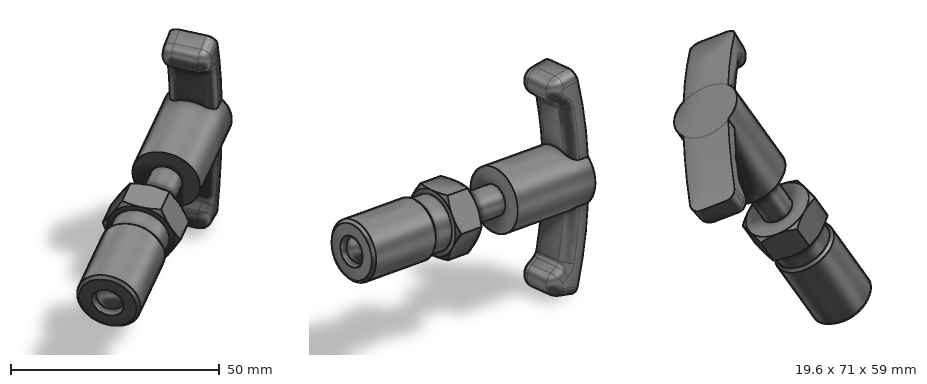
import cadquery as cq
import math

total_length = 71.0

barrel_diameter = 17.05
barrel_length = 25.0
pin_diameter = 8.0

back_radius = 106.5
arm_thickness = 5.5
arm_width = 12.1
arm_edge_radius = 2.7
arm_span = 59.0
arm_tip_height = arm_span / 2
finger_depth = 16.6
finger_height = 27.3
finger_radius = 3.55
neck_height = 20.65
neck_radius = 2.0

hex_across_flats = 17.0
hex_start = 37.0
hex_length = 8.0
hex_chamfer_angle = 30.0
relief_diameter = 14.5
relief_length = 5.1
thread_diameter = 16.0
thread_chamfer = 0.8
tip_projection = 0.2


def disc(diameter, start, length):
    """Cylinder on the axis, running forward (-Y) from a distance behind the handle's back."""
    plane = cq.Workplane("XZ", origin=(0, -start, 0))
    return plane.circle(diameter / 2).extrude(length)


def arc_depth(radius, height):
    """Depth below the handle's back of an arc concentric with the curved back."""
    return back_radius - math.sqrt(radius**2 - height**2)


def make_arm():
    """Upper grip arm: a curved strip ending in a rounded, forward-pointing finger."""
    inner_radius = back_radius - arm_thickness
    tip = (-arc_depth(back_radius, arm_tip_height), arm_tip_height)
    back_middle = (-arc_depth(back_radius, arm_tip_height / 2), arm_tip_height / 2)
    neck = (-arc_depth(inner_radius, neck_height), neck_height)
    inner_middle = (-arc_depth(inner_radius, neck_height / 2), neck_height / 2)
    finger = (-finger_depth, finger_height)
    arm = (
        cq.Workplane("YZ")
        .moveTo(0, 0)
        .threePointArc(back_middle, tip)
        .lineTo(*finger)
        .lineTo(*neck)
        .threePointArc(inner_middle, (-arm_thickness, 0))
        .close()
        .extrude(arm_width / 2, both=True)
    )
    arm = arm.edges(cq.selectors.NearestToPointSelector((0, *finger))).fillet(finger_radius)
    arm = arm.edges(cq.selectors.NearestToPointSelector((0, *neck))).fillet(neck_radius)

    root_middle = cq.Vector(0, -arm_thickness / 2, 0)
    back_point = cq.Vector(0, *back_middle)
    outline_edges = []
    for edge in arm.faces("<X or >X").edges().vals():
        centre = edge.positionAt(0.5)
        flat_centre = cq.Vector(0, centre.y, centre.z)
        on_root = (flat_centre - root_middle).Length < arm_edge_radius / 2
        on_back = (flat_centre - back_point).Length < arm_edge_radius / 2
        if not (on_root or on_back):
            outline_edges.append(edge)
    return arm.newObject(outline_edges).fillet(arm_edge_radius)


def make_handle():
    """Barrel with a curved back, two mirrored arms and a round-nosed pin."""
    back_envelope = (
        cq.Workplane("YZ", origin=(-barrel_diameter, 0, 0))
        .center(-back_radius, 0)
        .circle(back_radius)
        .extrude(2 * barrel_diameter)
    )
    barrel = disc(barrel_diameter, 0, barrel_length).intersect(back_envelope)
    nose_radius = pin_diameter / 2
    nose_centre = total_length - nose_radius
    pin = disc(pin_diameter, barrel_length, nose_centre - barrel_length)
    nose = cq.Workplane("XY", origin=(0, -nose_centre, 0)).sphere(nose_radius)
    arm = make_arm()
    return barrel.union(arm).union(arm.mirror("XY")).union(pin.union(nose))


def make_hexagon():
    """Hexagon with corners on X, both ends chamfered down to the across-flats circle."""
    corner_radius = hex_across_flats / math.sqrt(3)
    flat_radius = hex_across_flats / 2
    chamfer_length = (corner_radius - flat_radius) * math.tan(math.radians(hex_chamfer_angle))
    hexagon = cq.Workplane("XZ", origin=(0, -hex_start, 0)).polygon(6, 2 * corner_radius).extrude(hex_length)
    envelope = disc(2 * corner_radius, hex_start, hex_length)
    envelope = envelope.faces("<Y or >Y").chamfer(chamfer_length, corner_radius - flat_radius)
    return hexagon.intersect(envelope)


def make_housing():
    """Hexagon, relief neck and threaded barrel, bored through for the pin."""
    relief_start = hex_start + hex_length
    thread_start = relief_start + relief_length
    housing_end = total_length - tip_projection
    relief = disc(relief_diameter, relief_start, relief_length)
    thread = disc(thread_diameter, thread_start, housing_end - thread_start)
    thread = thread.faces("<Y or >Y").chamfer(thread_chamfer)
    bore = disc(pin_diameter, hex_start, housing_end - hex_start)
    return make_hexagon().union(relief).union(thread).cut(bore)


handle = make_handle()
housing = make_housing()

result = cq.Compound.makeCompound([handle.solids().val(), housing.solids().val()])